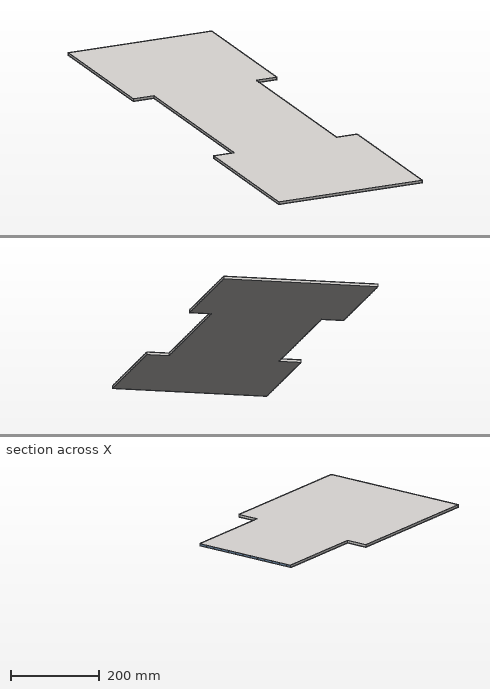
import cadquery as cq

length = 1130.0
width = 356.0
thickness = 6.3

notch_length = 431.0
notch_depth = 51.0


def edge_notch(side):
    """Cutter for the notch on the +Y (side=1) or -Y (side=-1) long edge."""
    center_y = side * (width - notch_depth) / 2
    return cq.Workplane("XY").box(notch_length, notch_depth, thickness).translate((0, center_y, 0))


result = cq.Workplane("XY").box(length, width, thickness)
for side in (-1, 1):
    result = result.cut(edge_notch(side))